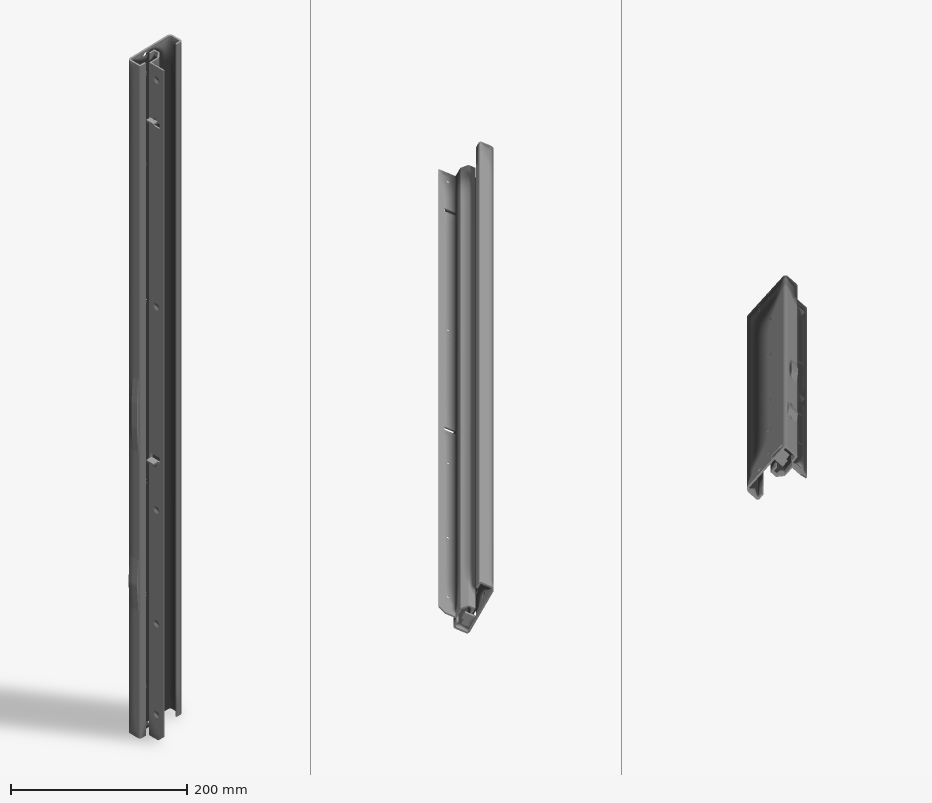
import cadquery as cq

length = 950.0

sheet = 2.4
bump_height = 2.4
channel_depth = 20.0
channel_bottom = bump_height
channel_top = 71.0
lip_length = 9.5
bend_radius = 4.0
lip_bend_radius = 3.0
upper_bend_radius = 6.0

web_hole_diameter = 7.0
upper_hole_y = 46.0
upper_hole_heights = [20.0, 902.0, 916.0, 933.0]
lower_hole_y = 29.0
lower_hole_heights = [51.0, 180.5, 340.0, 595.0, 788.5, 916.0, 943.0]

window_y_start, window_y_end = 7.0, 26.0
window_z_start, window_z_end = 5.0, 24.0

bump_x_end = channel_depth - lip_bend_radius
long_bump_x_start = 9.0
long_bump_bottom = 404.0
long_bump_ramp = 34.0
long_bump_flat = 34.0
ridge_x_start = bend_radius
ridge_bottom = 180.5
ridge_ramp = 34.0
ridge_flat = 3.0

rail_sheet = 2.0
rail_width = 45.0
flange_top = 17.0
wall_x = 24.0
wall_top = 29.0
hook_top = 37.0
hook_x_start, hook_x_end = 9.0, 17.0
hook_tip = 28.5
flange_corner_cut = 9.0

screw_x = 33.0
screw_diameter = 3.0
countersink_diameter = 9.5
countersink_depth = 1.4
screw_heights = [35.0, 163.0, 324.0, 611.0, 931.0]

slot_x_end = 38.0
slot_height = 7.0
lower_slot_bottom = 393.0
upper_slot_bottom = 864.5
tab_x_end = 35.0
tab_y_end = 9.0
tab_thickness = 2.4

stop_y_start, stop_step_y, stop_y_end = 9.0, 15.0, 24.0
low_step_reach = 12.0
low_step_height = 2.0
high_step_reach = 15.0
high_step_height = 4.0


def block(x_start, x_end, y_start, y_end, z_start, z_end):
    """Box given by its limits along each axis."""
    size = (x_end - x_start, y_end - y_start, z_end - z_start)
    return cq.Workplane("XY").box(*size, centered=False).translate((x_start, y_start, z_start))


def make_flange_bump(x_start, bottom, ramp, flat):
    """Bump on the lower flange that ramps up to a flat crest and down again along Z."""
    profile = [
        (channel_bottom + sheet / 2, bottom),
        (channel_bottom, bottom),
        (channel_bottom - bump_height, bottom + ramp),
        (channel_bottom - bump_height, bottom + ramp + flat),
        (channel_bottom, bottom + 2 * ramp + flat),
        (channel_bottom + sheet / 2, bottom + 2 * ramp + flat),
    ]
    bump = cq.Workplane("YZ").polyline(profile).close().extrude(bump_x_end - x_start)
    return bump.translate((x_start, 0, 0))


def round_bends(body, inset):
    """Round the four bends of a box that lies `inset` inside the outer faces of the channel."""
    body = body.edges("|Z and >X").fillet(lip_bend_radius - inset)
    body = body.edges("|Z and <X and <Y").fillet(bend_radius - inset)
    return body.edges("|Z and <X and >Y").fillet(upper_bend_radius - inset)


def make_channel():
    outside = block(0, channel_depth, channel_bottom, channel_top, 0, length)
    cavity = block(
        sheet, channel_depth - sheet, channel_bottom + sheet, channel_top - sheet, 0, length
    )
    outside = round_bends(outside, 0)
    cavity = round_bends(cavity, sheet)
    mouth = block(
        channel_depth - 2 * sheet,
        channel_depth,
        channel_bottom + lip_length,
        channel_top - lip_length,
        0,
        length,
    )
    channel = outside.cut(cavity).cut(mouth)

    channel = channel.union(
        make_flange_bump(long_bump_x_start, long_bump_bottom, long_bump_ramp, long_bump_flat)
    )
    channel = channel.union(make_flange_bump(ridge_x_start, ridge_bottom, ridge_ramp, ridge_flat))

    hole_centers = [(upper_hole_y, z) for z in upper_hole_heights]
    hole_centers += [(lower_hole_y, z) for z in lower_hole_heights]
    holes = cq.Workplane("YZ").pushPoints(hole_centers).circle(web_hole_diameter / 2).extrude(sheet)
    channel = channel.cut(holes)

    window = block(0, sheet, window_y_start, window_y_end, window_z_start, window_z_end)
    return channel.cut(window)


def make_rail():
    outline = [
        (hook_x_start, hook_tip),
        (hook_x_start, hook_top),
        (hook_x_end, hook_top),
        (wall_x, wall_top),
        (wall_x, flange_top),
        (rail_width, flange_top),
        (rail_width, flange_top - rail_sheet),
        (wall_x - rail_sheet, flange_top - rail_sheet),
        (wall_x - rail_sheet, wall_top - rail_sheet / 2),
        (hook_x_end - rail_sheet / 2, hook_top - rail_sheet),
        (hook_x_start + rail_sheet, hook_top - rail_sheet),
        (hook_x_start + rail_sheet, hook_tip),
    ]
    rail = cq.Workplane("XY").polyline(outline).close().extrude(length)
    rail = rail.edges("|Y and >X and <Z").chamfer(flange_corner_cut)

    screw_centers = [(screw_x, z) for z in screw_heights]
    flange_face = cq.Workplane("XZ", origin=(0, flange_top - rail_sheet, 0))
    rail = rail.cut(
        flange_face.pushPoints(screw_centers)
        .circle(screw_diameter / 2)
        .extrude(-rail_sheet)
    )
    for z in screw_heights:
        sink = cq.Solid.makeCone(
            countersink_diameter / 2,
            screw_diameter / 2,
            countersink_depth,
            pnt=cq.Vector(screw_x, flange_top - rail_sheet, z),
            dir=cq.Vector(0, 1, 0),
        )
        rail = rail.cut(cq.Workplane(sink))

    upper_tab_bottom = upper_slot_bottom + slot_height
    lower_tab_bottom = lower_slot_bottom - tab_thickness
    slots = [(lower_slot_bottom, lower_tab_bottom), (upper_slot_bottom, upper_tab_bottom)]
    for slot_bottom, tab_bottom in slots:
        slot = block(
            wall_x,
            slot_x_end,
            flange_top - rail_sheet,
            flange_top,
            slot_bottom,
            slot_bottom + slot_height,
        )
        tab = block(
            wall_x, tab_x_end, tab_y_end, flange_top, tab_bottom, tab_bottom + tab_thickness
        )
        rail = rail.cut(slot).union(tab)
    return rail


def make_end_stop():
    low_step = block(
        0, low_step_reach, stop_y_start, stop_step_y, window_z_start, window_z_start + low_step_height
    )
    high_step = block(
        0, high_step_reach, stop_step_y, stop_y_end, window_z_start, window_z_start + high_step_height
    )
    return low_step.union(high_step)


channel = make_channel()
rail = make_rail()
end_stop = make_end_stop()

result = cq.Compound.makeCompound([channel.val(), rail.val(), end_stop.val()])